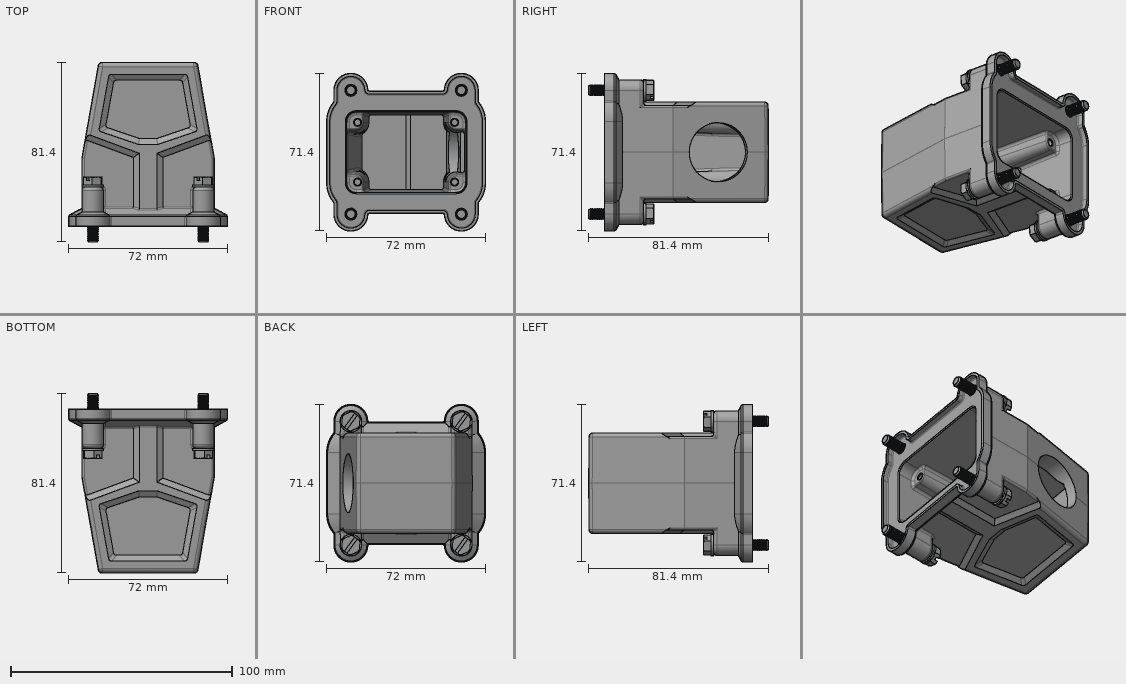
import cadquery as cq
import math


FLANGE_X = 72.0
FLANGE_Z = 55.4
FLANGE_CORNER_R = 13.85
FLANGE_T = 4.4
FLANGE_EDGE_R = 0.8
OVERALL_Z = 71.4
SCREW_X = 25.0
SCREW_Z = 28.0
LUG_R = OVERALL_Z / 2 - SCREW_Z
SHOULDER_H = 3.75
SHOULDER_TAPER = 62
RECESS_DEPTH = 2.6
RECESS_INSET = 1.4
RECESS_FLOOR_R = 0.4
LUG_NECK_R = 0.8

BODY_HALF_X = 30.0
BODY_HALF_Z = 22.8
BODY_BACK_Y = 74.3
BODY_BACK_HALF_X = 22.3
KINK_Y = 30.95
BODY_DRAFT = 0.4
BODY_EDGE_R = 1.95
SIDE_ANGLE = math.degrees(math.atan2(BODY_HALF_X - BODY_BACK_HALF_X, BODY_BACK_Y - KINK_Y))

RELIEF_DEPTH = 1.55
RELIEF_WALL_TAPER = 60
RIB_HALF_X = 4.0
PANEL_PEAK_Y = 33.1
PANEL_SLOPE = 20.3
PANEL_EDGE_R = 1.0
POCKET_TOP_Y = 68.8
POCKET_TOP_HALF_X = 17.7
POCKET_LOW_Y = 43.2
POCKET_LOW_HALF_X = 22.3
POCKET_TIP_Y = 37.05
POCKET_TIP_HALF_X = 4.3
POCKET_CORNER_R = 2.85

BOSS_R = BODY_HALF_X - SCREW_Z * math.tan(math.radians(BODY_DRAFT)) - SCREW_X
BOSS_TOP_Y = 17.75
BOSS_EDGE_R = 1.6
BOSS_ROOT_Z = 19.55
BOSS_FOOT_R = 1.0
RIB_FOOT_R = 0.8
SCREW_HOLE_R = 2.7

WALL = 2.9
CAVITY_HALF_Z = 18.3
CAVITY_CORNER_R = 4.6
CAVITY_DRAFT = 1.2
CAVITY_FLOOR_Y = 70.85
CAVITY_STEP_H = 2.1
CAVITY_STEP_X = 1.95
MOUTH_CHAMFER = 0.5

POST_FACE_Y = 11.0
POST_HOLE_X = 22.0
POST_HOLE_Z = 13.5
POST_INNER_X = 19.5
POST_INNER_Z = 10.2
POST_R = 3.25
POST_DRAFT = 2.5
POST_EDGE_R = 0.6
POST_ROOT_R = 1.2
POST_HOLE_R = 1.5
POST_HOLE_CHAMFER = 0.3
POST_HOLE_DEPTH = 8.15

ENTRY_DIA = 26.7
ENTRY_Y = 50.8
ENTRY_PAD_T = 2.1

SHANK_R = 2.45
THREAD_ROOT_R = 2.0
THREAD_PITCH = 0.8
THREAD_FLAT = 0.2
SCREW_TIP_Y = BODY_BACK_Y - 81.4
TIP_CHAMFER = 0.5
HEAD_FLATS = 8.0
HEAD_H = 3.5
HEAD_TURN = 6
HEAD_EDGE = 0.3
SLOT_W = 1.5
SLOT_DEPTH = 1.55
WASHER_R = 4.9
WASHER_T = 1.05

SCREW_SPOTS = [(sx * SCREW_X, sz * SCREW_Z) for sx in (-1, 1) for sz in (-1, 1)]
POST_SIGNS = [(sx, sz) for sx in (-1, 1) for sz in (-1, 1)]


def section(y):
    """Workplane across the part at the given Y, extruding toward +Y (local X is -X, local Y is Z)."""
    return cq.Workplane(cq.Plane(origin=(0, y, 0), xDir=(-1, 0, 0), normal=(0, 1, 0)))


def rounded_block(y, half_x, half_z, radius, height, taper=0.0):
    sketch = cq.Sketch().rect(2 * half_x, 2 * half_z).vertices().fillet(radius)
    return section(y).placeSketch(sketch).extrude(height, taper=taper)


def flange_layer(y, height, inset=0.0, taper=0.0):
    """Rounded plate with four lugs, its outline moved inward by inset."""
    layer = rounded_block(
        y, FLANGE_X / 2 - inset, FLANGE_Z / 2 - inset, FLANGE_CORNER_R - inset, height, taper
    )
    lug_r = LUG_R - inset
    for x, z in SCREW_SPOTS:
        lug = (
            section(y)
            .center(-x, z / 2)
            .slot2D(SCREW_Z + 2 * lug_r, 2 * lug_r, 90)
            .extrude(height, taper=taper)
        )
        layer = layer.union(lug)
    return layer


def flange_outline():
    """Flange outline with rounded necks beside the lugs, pending on the Y = 0 plane."""
    base = flange_layer(0, FLANGE_T).faces("<Y").wires()
    return section(0).add(base.vals()).toPending().offset2D(LUG_NECK_R).offset2D(-LUG_NECK_R)


def make_flange():
    plate = flange_outline().extrude(FLANGE_T)
    plate = plate.union(flange_layer(FLANGE_T, FLANGE_EDGE_R, 0, 30))
    inset = FLANGE_EDGE_R * math.tan(math.radians(30))
    return plate.union(flange_layer(FLANGE_T + FLANGE_EDGE_R, SHOULDER_H, inset, SHOULDER_TAPER))


def make_recess():
    """Shallow recess in the flange face, following the outline inside a narrow rim."""
    recess = flange_outline().offset2D(-RECESS_INSET).extrude(RECESS_DEPTH)
    return recess.faces(">Y").edges().fillet(RECESS_FLOOR_R)


def make_panel(side):
    """Space of the relief beside the central rib, reaching below its floor to the rounded side edge."""
    far_x = 2 * BODY_HALF_X
    far_y = PANEL_PEAK_Y + (far_x - RIB_HALF_X) * math.tan(math.radians(PANEL_SLOPE))
    outline = [(RIB_HALF_X, -far_x), (far_x, -far_x), (far_x, far_y), (RIB_HALF_X, PANEL_PEAK_Y)]
    return (
        cq.Workplane("XY", origin=(0, 0, BODY_HALF_Z))
        .polyline([(side * x, y) for x, y in outline])
        .close()
        .extrude(-RELIEF_DEPTH - PANEL_EDGE_R, taper=RELIEF_WALL_TAPER)
    )


def make_pocket():
    """Recessed label field of the +Z face."""
    half = [
        (POCKET_TOP_HALF_X, POCKET_TOP_Y),
        (POCKET_LOW_HALF_X, POCKET_LOW_Y),
        (POCKET_TIP_HALF_X, POCKET_TIP_Y),
    ]
    outline = half + [(-x, y) for x, y in reversed(half)]
    pocket = (
        cq.Workplane("XY", origin=(0, 0, BODY_HALF_Z))
        .polyline(outline)
        .close()
        .extrude(-RELIEF_DEPTH, taper=RELIEF_WALL_TAPER)
    )
    corners = pocket.edges("not #Z").edges("(not <Y)").vals()
    corners = [edge for edge in corners if abs(edge.Center().x) > 2 * POCKET_TIP_HALF_X]
    return pocket.newObject(corners).fillet(POCKET_CORNER_R)


def body_half(height):
    """Drafted upper half of the body, flat-topped at the given height."""
    outline = [
        (-BODY_HALF_X, RECESS_DEPTH),
        (-BODY_HALF_X, KINK_Y),
        (-BODY_BACK_HALF_X, BODY_BACK_Y),
        (BODY_BACK_HALF_X, BODY_BACK_Y),
        (BODY_HALF_X, KINK_Y),
        (BODY_HALF_X, RECESS_DEPTH),
    ]
    return cq.Workplane("XY").polyline(outline).close().extrude(height, taper=BODY_DRAFT)


def make_body():
    upper = body_half(BODY_HALF_Z)
    upper = upper.faces(">Y").edges("not #Z").fillet(BODY_EDGE_R)
    upper = upper.faces(">Z").edges("not <Y").fillet(BODY_EDGE_R)
    panel_floor = body_half(BODY_HALF_Z - RELIEF_DEPTH)
    panel_floor = panel_floor.faces(">Z").edges("not <Y").fillet(PANEL_EDGE_R)
    for side in (-1, 1):
        upper = upper.cut(make_panel(side).cut(panel_floor))
    upper = upper.cut(make_pocket())
    return upper.union(upper.mirror("XY"))


def make_boss(x, z):
    """Round boss around a screw, carried down to the body by a web flush with the body side."""
    out_x = math.copysign(1, x)
    out_z = math.copysign(1, z)
    reach = SCREW_Z - BOSS_ROOT_Z
    outer_x = BOSS_R + reach * math.tan(math.radians(BODY_DRAFT))
    web = [(BOSS_R, 0), (outer_x, -reach), (-BOSS_R, -reach), (-BOSS_R, 0)]
    column = section(RECESS_DEPTH).center(-x, z).circle(BOSS_R).extrude(BOSS_TOP_Y - RECESS_DEPTH)
    side = (
        section(RECESS_DEPTH)
        .center(-x, z)
        .polyline([(-out_x * a, out_z * b) for a, b in web])
        .close()
        .extrude(BOSS_TOP_Y - RECESS_DEPTH)
    )
    return column.union(side).faces(">Y").edges().fillet(BOSS_EDGE_R)


def housing_shell():
    """Solid outside shape of the hood, with its inside corners rounded."""
    shell = make_flange().union(make_body())
    for x, z in SCREW_SPOTS:
        shell = shell.union(make_boss(x, z))

    rib_feet = []
    boss_feet = []
    boss_inner_x = SCREW_X - BOSS_R
    panel_z = BODY_HALF_Z - RELIEF_DEPTH
    shoulder_end_y = FLANGE_T + FLANGE_EDGE_R + SHOULDER_H
    for edge in shell.edges().vals():
        spot = edge.Center()
        x = abs(spot.x)
        z = abs(spot.z)
        if z > panel_z - 0.1 and x < boss_inner_x - 0.8 and FLANGE_T + 1.6 < spot.y < shoulder_end_y:
            rib_feet.append(edge)
        if abs(z - panel_z) < 0.1 and x > boss_inner_x - 0.8 and shoulder_end_y < spot.y < BOSS_TOP_Y + 0.8:
            boss_feet.append(edge)
    shell = shell.newObject(rib_feet).fillet(RIB_FOOT_R)
    return shell.newObject(boss_feet).fillet(BOSS_FOOT_R)


def make_posts():
    posts = cq.Workplane()
    for sx, sz in POST_SIGNS:
        post = rounded_block(
            POST_FACE_Y, BODY_HALF_X - POST_INNER_X, BODY_HALF_Z - POST_INNER_Z, POST_R,
            CAVITY_FLOOR_Y - POST_FACE_Y, -POST_DRAFT,
        ).faces("<Y").edges().fillet(POST_EDGE_R)
        posts = posts.union(post.translate((sx * BODY_HALF_X, 0, sz * BODY_HALF_Z)))
    return posts


def make_cavity():
    """Hollow of the hood, without the posts."""
    inner = BODY_HALF_X - WALL
    slope = math.tan(math.radians(SIDE_ANGLE))
    floor_left = inner - (CAVITY_FLOOR_Y - KINK_Y) * slope
    step_y = CAVITY_FLOOR_Y - CAVITY_STEP_H
    pad = inner - ENTRY_PAD_T
    pad_start_y = KINK_Y + ENTRY_PAD_T
    outline = [
        (-inner, RECESS_DEPTH),
        (-inner, KINK_Y),
        (-floor_left, CAVITY_FLOOR_Y),
        (0, CAVITY_FLOOR_Y),
        (CAVITY_STEP_X, step_y),
        (pad - (step_y - KINK_Y) * slope, step_y),
        (pad - (pad_start_y - KINK_Y) * slope, pad_start_y),
        (inner, KINK_Y),
        (inner, RECESS_DEPTH),
    ]
    plan = cq.Workplane("XY").polyline(outline).close().extrude(BODY_HALF_Z, both=True)
    depth = CAVITY_FLOOR_Y - RECESS_DEPTH
    bore = rounded_block(RECESS_DEPTH, inner, CAVITY_HALF_Z, CAVITY_CORNER_R, depth, CAVITY_DRAFT)
    return plan.intersect(bore)


def make_hollow():
    """Cavity around the posts, with the feet of the posts rounded."""
    hollow = make_cavity().cut(make_posts())
    feet = []
    for edge in hollow.edges().vals():
        spot = edge.Center()
        x = abs(spot.x)
        z = abs(spot.z)
        long = edge.Length() > 4 * POST_R and spot.y < CAVITY_FLOOR_Y - 4.1
        if long and z > CAVITY_HALF_Z - 1.6 and abs(x - POST_INNER_X) < 3.25:
            feet.append(edge)
        if long and spot.x < -POST_INNER_X and 0 < POST_INNER_Z - z < 2.45:
            feet.append(edge)
    return hollow.newObject(feet).fillet(POST_ROOT_R)


def make_mouth():
    grow = MOUTH_CHAMFER
    return rounded_block(
        RECESS_DEPTH, BODY_HALF_X - WALL + grow, CAVITY_HALF_Z + grow, CAVITY_CORNER_R + grow, grow, 45
    )


def make_cable_entry():
    tilt = math.radians(SIDE_ANGLE)
    axis = cq.Plane(
        origin=(BODY_HALF_X / 2, ENTRY_Y - BODY_HALF_X / 4 * math.sin(tilt), 0),
        xDir=(0, 0, 1),
        normal=(math.cos(tilt), math.sin(tilt), 0),
    )
    return cq.Workplane(axis).circle(ENTRY_DIA / 2).extrude(BODY_HALF_X)


def make_housing():
    housing = housing_shell()
    housing = housing.cut(make_recess())
    housing = housing.cut(make_hollow()).cut(make_mouth()).cut(make_cable_entry())
    screw_holes = section(0).pushPoints(SCREW_SPOTS).circle(SCREW_HOLE_R).extrude(BOSS_TOP_Y)
    post_spots = [(sx * POST_HOLE_X, sz * POST_HOLE_Z) for sx, sz in POST_SIGNS]
    post_holes = section(POST_FACE_Y).pushPoints(post_spots).circle(POST_HOLE_R).extrude(POST_HOLE_DEPTH)
    sink_r = POST_HOLE_R + POST_HOLE_CHAMFER
    sinks = section(POST_FACE_Y).pushPoints(post_spots).circle(sink_r).extrude(POST_HOLE_CHAMFER, taper=45)
    return housing.cut(screw_holes).cut(post_holes).cut(sinks)


def make_washer(x, z):
    ring = section(BOSS_TOP_Y).center(-x, z).circle(WASHER_R).circle(SHANK_R)
    return ring.extrude(WASHER_T)


def make_screw(x, z):
    """Slotted hexagon-head screw with a ringed thread on its free end."""
    seat_y = BOSS_TOP_Y + WASHER_T
    profile = [(0, seat_y), (SHANK_R, seat_y), (SHANK_R, RECESS_DEPTH)]
    y = RECESS_DEPTH
    while y - THREAD_PITCH > SCREW_TIP_Y + TIP_CHAMFER:
        profile.append((THREAD_ROOT_R, y - (THREAD_PITCH - THREAD_FLAT) / 2))
        profile.append((THREAD_ROOT_R, y - THREAD_PITCH / 2))
        profile.append((SHANK_R, y - THREAD_PITCH + THREAD_FLAT / 2))
        profile.append((SHANK_R, y - THREAD_PITCH))
        y -= THREAD_PITCH
    profile += [(SHANK_R - TIP_CHAMFER, SCREW_TIP_Y), (0, SCREW_TIP_Y)]
    shank = cq.Workplane("XY").polyline(profile).close().revolve(360, (0, 0, 0), (0, 1, 0))
    corners_dia = HEAD_FLATS / math.cos(math.pi / 6)
    head = section(seat_y).polygon(6, corners_dia).extrude(HEAD_H)
    crown = section(seat_y).circle(corners_dia / 2).extrude(HEAD_H).faces(">Y").chamfer(HEAD_EDGE)
    slot = section(seat_y + HEAD_H - SLOT_DEPTH).rect(SLOT_W, 2 * corners_dia).extrude(SLOT_DEPTH)
    slot = slot.rotate((0, 0, 0), (0, 1, 0), -60)
    head = head.intersect(crown).cut(slot)
    head = head.rotate((0, 0, 0), (0, 1, 0), 30 - HEAD_TURN)
    return shank.union(head).translate((x, 0, z))


housing = make_housing()
screws = [make_screw(x, z) for x, z in SCREW_SPOTS]
washers = [make_washer(x, z) for x, z in SCREW_SPOTS]

result = cq.Compound.makeCompound([body.val() for body in [housing, *screws, *washers]])